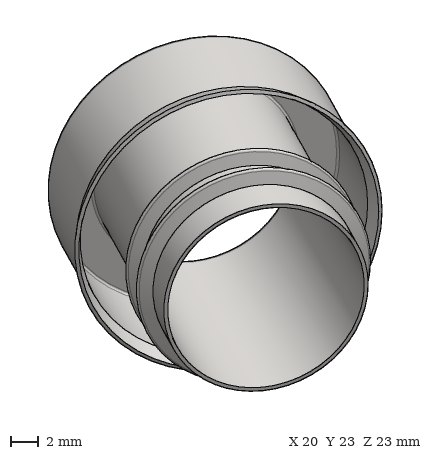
import cadquery as cq
import math

total_length = 20.0
rim_diameter = 23.0
head_diameter = 22.1
tube_diameter = 15.3
bore_diameter = 14.7
head_length = 9.64
flare_angle = math.radians(19)
bend_radius = 0.48

rib_height = 1.1
rib_tip_radius = 0.2
rib_flank_angle = math.radians(17)
rib_spacing = 3.0
last_rib_to_end = 3.5

head_radius = head_diameter / 2
rim_radius = rim_diameter / 2
tube_radius = tube_diameter / 2
bore_radius = bore_diameter / 2
wall = tube_radius - bore_radius
inner_bend_radius = bend_radius - wall
cavity_radius = head_radius - wall

rim_outer_x = head_length - wall * math.sin(flare_angle)
rim_inner_radius = rim_radius - wall * math.cos(flare_angle)
flare_outer_x = rim_outer_x - (rim_radius - head_radius) / math.tan(flare_angle)
flare_inner_x = head_length - (rim_inner_radius - cavity_radius) / math.tan(flare_angle)


def bend_middle(x, radius, bend, outward):
    """Midpoint of a quarter bend about (x, radius), on its front side."""
    offset = bend * math.sqrt(0.5)
    return (x - offset, radius + outward * offset)


def revolve_about_x(profile):
    return profile.close().revolve(360, (0, 0, 0), (1, 0, 0))


def make_shell():
    """Folded wall: bore, front face, head and flare, open at the back."""
    bore_bend_center = bore_radius + bend_radius
    head_bend_center = head_radius - bend_radius
    profile = (
        cq.Workplane("XY")
        .moveTo(total_length, bore_radius)
        .lineTo(bend_radius, bore_radius)
        .threePointArc(bend_middle(bend_radius, bore_bend_center, bend_radius, -1), (0, bore_bend_center))
        .lineTo(0, head_bend_center)
        .threePointArc(
            bend_middle(bend_radius, head_bend_center, bend_radius, 1), (bend_radius, head_radius)
        )
        .lineTo(flare_outer_x, head_radius)
        .lineTo(rim_outer_x, rim_radius)
        .lineTo(head_length, rim_inner_radius)
        .lineTo(flare_inner_x, cavity_radius)
        .lineTo(bend_radius, cavity_radius)
        .threePointArc(
            bend_middle(bend_radius, head_bend_center, inner_bend_radius, 1), (wall, head_bend_center)
        )
        .lineTo(wall, bore_bend_center)
        .threePointArc(
            bend_middle(bend_radius, bore_bend_center, inner_bend_radius, -1), (bend_radius, tube_radius)
        )
        .lineTo(total_length, tube_radius)
    )
    return revolve_about_x(profile)


def make_rib(center_x):
    """Tapered ring with a rounded crest tangent to both flanks."""
    root_radius = (tube_radius + bore_radius) / 2
    crest_radius = tube_radius + rib_height
    tip_center = crest_radius - rib_tip_radius
    tangent_offset = rib_tip_radius * math.cos(rib_flank_angle)
    tangent_radius = tip_center + rib_tip_radius * math.sin(rib_flank_angle)
    root_offset = tangent_offset + (tangent_radius - root_radius) * math.tan(rib_flank_angle)
    profile = (
        cq.Workplane("XY")
        .moveTo(center_x - root_offset, root_radius)
        .lineTo(center_x - tangent_offset, tangent_radius)
        .threePointArc((center_x, crest_radius), (center_x + tangent_offset, tangent_radius))
        .lineTo(center_x + root_offset, root_radius)
    )
    return revolve_about_x(profile)


result = make_shell()
last_rib_x = total_length - last_rib_to_end
for rib_x in (last_rib_x - rib_spacing, last_rib_x):
    result = result.union(make_rib(rib_x))